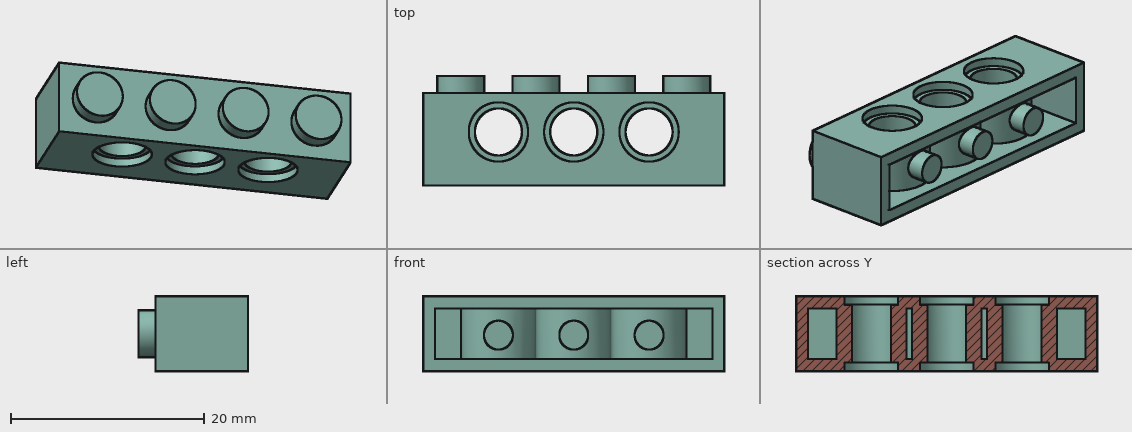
import cadquery as cq

PITCH = 7.8
STUD_COUNT = 4
LENGTH = STUD_COUNT * PITCH
DEPTH = PITCH
BODY_HEIGHT = 9.6
WALL = 1.25
SIDE_WALL = 1.3
ROOF = 1.3

STUD_DIAMETER = 4.9
STUD_HEIGHT = 1.76

SLEEVE_DIAMETER = PITCH
HOLE_Y = 5.55
HOLE_DIAMETER = 4.85
RECESS_DIAMETER = 6.15
RECESS_DEPTH = 0.9

PEG_DIAMETER = 3.0
PEG_END_Y = 0.0
PEG_Z = -0.15


def row(count):
    """X positions of a centred row of features, one pitch apart."""
    return [(i - (count - 1) / 2) * PITCH for i in range(count)]


STUD_XS = row(STUD_COUNT)
HOLE_XS = row(STUD_COUNT - 1)


def cylinder_along_z(x, diameter, z_start, length):
    plane = cq.Workplane("XY", origin=(x, HOLE_Y, z_start))
    return plane.circle(diameter / 2).extrude(length)


def cylinder_along_y(x, z, diameter, y_start, y_end):
    plane = cq.Workplane("XZ", origin=(x, y_end, z))
    return plane.circle(diameter / 2).extrude(y_end - y_start)


def hollow_body():
    body = cq.Workplane("XY").box(LENGTH, BODY_HEIGHT, DEPTH, centered=(True, False, True))
    cavity = cq.Workplane("XY").box(
        LENGTH - 2 * WALL,
        BODY_HEIGHT - ROOF,
        DEPTH - 2 * SIDE_WALL,
        centered=(True, False, True),
    )
    return body.cut(cavity)


def add_studs(part):
    for x in STUD_XS:
        part = part.union(
            cylinder_along_y(x, 0, STUD_DIAMETER, BODY_HEIGHT - ROOF / 2, BODY_HEIGHT + STUD_HEIGHT)
        )
    return part


def add_sleeves_and_pegs(part):
    sleeve_length = DEPTH - SIDE_WALL
    for x in HOLE_XS:
        part = part.union(cylinder_along_z(x, SLEEVE_DIAMETER, -sleeve_length / 2, sleeve_length))
        part = part.union(cylinder_along_y(x, PEG_Z, PEG_DIAMETER, PEG_END_Y, HOLE_Y))
    return part


def cut_pin_holes(part):
    for x in HOLE_XS:
        part = part.cut(cylinder_along_z(x, HOLE_DIAMETER, -DEPTH / 2, DEPTH))
        for z_start in (-DEPTH / 2, DEPTH / 2 - RECESS_DEPTH):
            part = part.cut(cylinder_along_z(x, RECESS_DIAMETER, z_start, RECESS_DEPTH))
    return part


result = cut_pin_holes(add_sleeves_and_pegs(add_studs(hollow_body())))